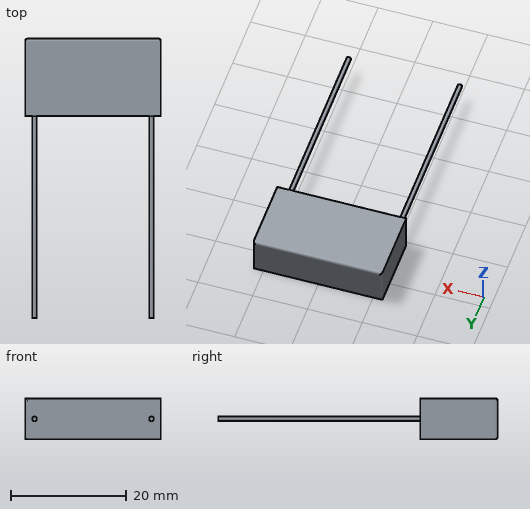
import cadquery as cq

CASE_WIDTH = 23.5
CASE_DEPTH = 13.5
CASE_HEIGHT = 7.15
BACK_EDGE_RADIUS = 0.5

LEAD_DIAMETER = 0.82
LEAD_SPACING = 20.25
OVERALL_DEPTH = 48.5
LEAD_LENGTH = OVERALL_DEPTH - CASE_DEPTH


def make_case():
    """Case with its lead face on the plane Y = 0."""
    box = cq.Workplane("XY").box(CASE_WIDTH, CASE_DEPTH, CASE_HEIGHT, centered=(True, False, True))
    return box.faces(">Y").edges().fillet(BACK_EDGE_RADIUS)


def make_lead(x):
    """Straight round wire that starts on the lead face and runs toward -Y."""
    return cq.Workplane("XZ").center(x, 0).circle(LEAD_DIAMETER / 2).extrude(LEAD_LENGTH)


case = make_case()
leads = [make_lead(side * LEAD_SPACING / 2) for side in (-1, 1)]

result = cq.Compound.makeCompound([case.val(), *[lead.val() for lead in leads]])